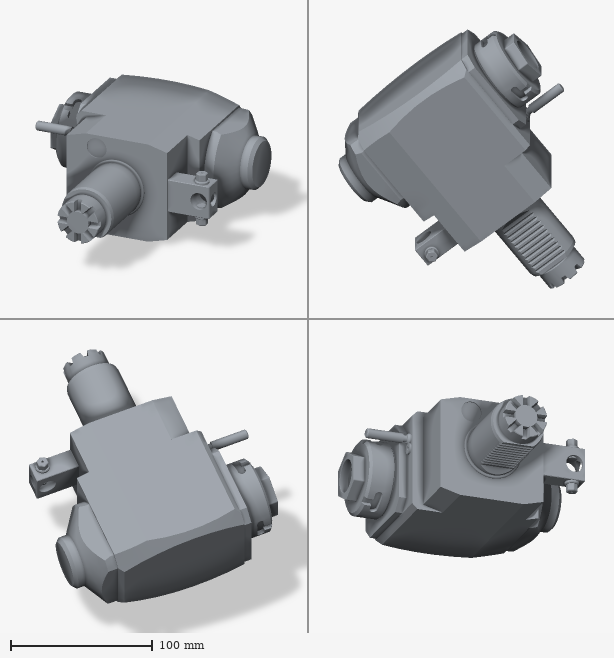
import cadquery as cq
import math

OVERLAP = 1.0

HALF_HEIGHT = 37.5
LOWER_HALF_WIDTH = 39.0
SHOULDER_Y = 35.0
BACK_Y = 114.0
UPPER_LEFT = -47.2
UPPER_RIGHT = 48.3
LEFT_CHAMFER = 3.9
TAPER_START = 24.2
TAPER_SLOPE = math.tan(math.radians(15))
BACK_CORNER_CHAMFER = 3.4
BACK_BEVEL_AXIS_X = -9.6
BACK_BEVEL_RADIUS = 137.0
BACK_BEVEL_Y = 109.3
PLUG_X = -15.7
PLUG_Z = 27.6
PLUG_RADIUS = 7.6
PLUG_DEPTH = 1.0

SPINDLE_Y = 80.0
PLATE_HALF = 33.5
PLATE_CHAMFER = 8.3
PLATE_FACE_X = -52.7
NUT_RADIUS = 27.5
NUT_BACK_X = -53.6
NUT_FACE_X = -72.2
NUT_FACE_CHAMFER = (1.8, 2.2)
NUT_BACK_CHAMFER = 0.5
NUT_NECK_RADIUS = 26.4
SLOT_X = -62.7
SLOT_WIDTH = 5.6
SLOT_FLOOR_RADIUS = 24.4
SLOT_LENGTH = 18.2
SLOT_COUNT = 3
NOTCH_WIDTH = 5.8
HEX_FLATS = 32.0
HEX_END_X = -80.5
HEX_CORNER_FILLET = 1.0
HEX_EDGE_CHAMFER = 0.3
HEX_BORE_RADIUS = 11.9
HEX_BORE_DEPTH = 6.2

COVER_RADIUS = 37.1
COVER_CYLINDER_END = 55.6
COVER_CONE_END = 68.1
COVER_CAP_RADIUS = 19.2
COVER_END_X = 76.5
COVER_CAP_CHAMFER = 2.6
COVER_BACK_Y = 109.9
COVER_HALF_HEIGHT = 29.4
COVER_FLAT_END = 51.5

NOZZLE_Y = 40.5
NOZZLE_Z = 17.5
NOZZLE_RADIUS = 3.5
NOZZLE_TIP_X = -80.1
NOZZLE_BACK_X = -52.8
NOZZLE_TIP_CHAMFER = 0.8
NOZZLE_NECK_RADIUS = 2.4
SOCKET_RADIUS = 4.1
SOCKET_FACE_RADIUS = 3.0
SOCKET_FACE_X = -49.6
SOCKET_RIM_X = -48.3
VENT_PLUG_Z = 10.3
VENT_PLUG_RADIUS = 4.0
VENT_PLUG_FACE_X = -48.6
VENT_HOLE_RADIUS = 1.3

FLANGE_RADIUS = 21.6
FLANGE_LENGTH = 2.1
SHANK_RADIUS = 20.0
SHANK_UNDERCUT_RADIUS = 19.7
SHANK_UNDERCUT_END = 3.8
SHANK_LENGTH = 52.7
SHANK_END_TAPER = 2.8
SHANK_END_RADIUS = 19.3
SHANK_NECK_RADIUS = 13.0
RACK_Z = -15.9
RACK_DEPTH = 1.2
RACK_START = 8.9
RACK_PITCH = 4.0
RACK_FIRST_VALLEY = 12.5
RACK_TEETH = 10
COUPLING_START = 53.8
COUPLING_RADIUS = 16.0
COUPLING_CHAMFER = 0.5
COUPLING_END = 68.0
CORE_RADIUS = 8.3
NOTCH_COUNT = 8
NOTCH_DEPTH = 4.8
NOTCH_MOUTH = 5.2
NOTCH_FLOOR = 3.4

BRACKET_END_X = 71.0
BRACKET_Y = (1.2, 16.3)
BRACKET_HALF_HEIGHT = 12.4
BRACKET_EDGE = 0.4
PORT_X = 62.9
PORT_RADIUS = 6.4
END_BORE_RADIUS = 5.0
SCREW_Y = 7.0
SCREW_FLANGE_RADIUS = 5.2
SCREW_FLANGE_TOP_RADIUS = 4.6
SCREW_FLANGE_SIDE = 1.4
SCREW_FLANGE_HEIGHT = 2.0
SCREW_HEX_FLATS = 7.6
SCREW_HEX_FILLET = 1.0
SCREW_HEX_CHAMFER = 0.5
SCREW_STUD_RADIUS = 3.6
SCREW_STUD_END_Z = 5.2
SCREW_HEIGHT = 7.4
SCREW_HOLE_RADIUS = 0.9
SCREW_HOLE_DEPTH = 2.0


def prism_along_y(points, y_start, y_end):
    """Extrude an (x, z) outline from y_start to y_end."""
    outline = cq.Workplane("XZ", origin=(0, y_start, 0)).polyline(points).close()
    return outline.extrude(y_start - y_end)


def turned_along_x(profile, y, z):
    """Turn an (x, radius) profile about an axis parallel to X."""
    outline = cq.Workplane("XY", origin=(0, y, z)).polyline(profile).close()
    return outline.revolve(360, (0, 0, 0), (1, 0, 0))


def turned_along_y(profile):
    """Turn a (radius, y) profile about the Y axis."""
    return cq.Workplane("XY").polyline(profile).close().revolve(360, (0, 0, 0), (0, 1, 0))


def cylinder_along_x(radius, x_start, x_end, y, z):
    return cq.Workplane("YZ", origin=(x_start, y, z)).circle(radius).extrude(x_end - x_start)


def cylinder_along_y(radius, y_start, y_end, x, z):
    return cq.Workplane("XZ", origin=(x, y_start, z)).circle(radius).extrude(y_start - y_end)


def mirrored_pair(points):
    """Close an upper (x, z) outline, listed left to right, with its mirror image below."""
    return points + [(x, -z) for x, z in reversed(points)]


def taper_height(x):
    return HALF_HEIGHT - (x - TAPER_START) * TAPER_SLOPE


def make_housing():
    lower = prism_along_y(
        mirrored_pair([
            (-LOWER_HALF_WIDTH, taper_height(LOWER_HALF_WIDTH)),
            (-TAPER_START, HALF_HEIGHT),
            (TAPER_START, HALF_HEIGHT),
            (LOWER_HALF_WIDTH, taper_height(LOWER_HALF_WIDTH)),
        ]),
        0,
        SHOULDER_Y,
    )
    upper = prism_along_y(
        mirrored_pair([
            (UPPER_LEFT, HALF_HEIGHT - LEFT_CHAMFER),
            (UPPER_LEFT + LEFT_CHAMFER, HALF_HEIGHT),
            (TAPER_START, HALF_HEIGHT),
            (UPPER_RIGHT, taper_height(UPPER_RIGHT)),
        ]),
        SHOULDER_Y,
        BACK_Y,
    )
    upper = upper.edges("|Z and >X and >Y").chamfer(BACK_CORNER_CHAMFER)

    for side in (1, -1):
        axis_z = side * (HALF_HEIGHT - BACK_BEVEL_RADIUS)
        cone_profile = [
            (0, 0),
            (BACK_BEVEL_RADIUS + BACK_BEVEL_Y, 0),
            (BACK_BEVEL_RADIUS + BACK_BEVEL_Y - BACK_Y, BACK_Y),
            (0, BACK_Y),
        ]
        cone = turned_along_y(cone_profile).translate((BACK_BEVEL_AXIS_X, 0, axis_z))
        upper = upper.intersect(cone)

    plug_recess = cylinder_along_y(PLUG_RADIUS, 0, PLUG_DEPTH, PLUG_X, PLUG_Z)
    return lower.union(upper).cut(plug_recess)


def make_plate():
    plate = cq.Workplane("YZ", origin=(PLATE_FACE_X, SPINDLE_Y, 0)).rect(2 * PLATE_HALF, 2 * PLATE_HALF)
    plate = plate.extrude(UPPER_LEFT - PLATE_FACE_X + OVERLAP)
    return plate.edges("|X").chamfer(PLATE_CHAMFER)


def make_nut_slot():
    """Cutter for one round-ended slot and the notch leading to it, on the +Y side of the nut."""
    clear_radius = NUT_RADIUS + OVERLAP
    slot = cq.Workplane("XZ", origin=(SLOT_X, 0, 0)).slot2D(SLOT_LENGTH, SLOT_WIDTH, 90)
    slot = slot.extrude(-clear_radius)
    notch = cq.Workplane("XY").box(
        SLOT_X - NUT_FACE_X + OVERLAP, clear_radius - SLOT_FLOOR_RADIUS, NOTCH_WIDTH,
        centered=(False, False, True),
    )
    notch = notch.translate((NUT_FACE_X - OVERLAP, SLOT_FLOOR_RADIUS, 0))
    floor = cylinder_along_x(SLOT_FLOOR_RADIUS, SLOT_X - SLOT_WIDTH, SLOT_X + SLOT_WIDTH, 0, 0)
    return slot.cut(floor).union(notch).translate((0, SPINDLE_Y, 0))


def make_nut():
    chamfer_length, chamfer_height = NUT_FACE_CHAMFER
    nut = turned_along_x(
        [
            (NUT_FACE_X, 0),
            (NUT_FACE_X, NUT_RADIUS - chamfer_height),
            (NUT_FACE_X + chamfer_length, NUT_RADIUS),
            (NUT_BACK_X - NUT_BACK_CHAMFER, NUT_RADIUS),
            (NUT_BACK_X, NUT_RADIUS - NUT_BACK_CHAMFER),
            (NUT_BACK_X, NUT_NECK_RADIUS),
            (PLATE_FACE_X + OVERLAP, NUT_NECK_RADIUS),
            (PLATE_FACE_X + OVERLAP, 0),
        ],
        SPINDLE_Y,
        0,
    )
    slot = make_nut_slot()
    for index in range(SLOT_COUNT):
        turn = index * 360 / SLOT_COUNT
        nut = nut.cut(slot.rotate((0, SPINDLE_Y, 0), (1, SPINDLE_Y, 0), turn))
    return nut


def make_hexagon_bore():
    """Cutter for the blind bore in the hexagon, flared by a small edge chamfer at its mouth."""
    return turned_along_x(
        [
            (HEX_END_X, 0),
            (HEX_END_X, HEX_BORE_RADIUS + HEX_EDGE_CHAMFER),
            (HEX_END_X + HEX_EDGE_CHAMFER, HEX_BORE_RADIUS),
            (HEX_END_X + HEX_BORE_DEPTH, HEX_BORE_RADIUS),
            (HEX_END_X + HEX_BORE_DEPTH, 0),
        ],
        SPINDLE_Y,
        0,
    )


def make_hexagon():
    corner_diameter = HEX_FLATS / math.cos(math.pi / 6)
    hexagon = cq.Workplane("YZ", origin=(HEX_END_X, SPINDLE_Y, 0))
    hexagon = hexagon.transformed(rotate=(0, 0, 90)).polygon(6, corner_diameter)
    hexagon = hexagon.extrude(NUT_FACE_X + OVERLAP - HEX_END_X)
    hexagon = hexagon.edges("|X").fillet(HEX_CORNER_FILLET)
    hexagon = hexagon.faces("<X").edges().chamfer(HEX_EDGE_CHAMFER)
    return hexagon.cut(make_hexagon_bore())


def make_cover():
    start = UPPER_RIGHT - OVERLAP
    cover = turned_along_x(
        [
            (start, 0),
            (start, COVER_RADIUS),
            (COVER_CYLINDER_END, COVER_RADIUS),
            (COVER_CONE_END, COVER_CAP_RADIUS),
            (COVER_END_X - COVER_CAP_CHAMFER, COVER_CAP_RADIUS),
            (COVER_END_X, COVER_CAP_RADIUS - COVER_CAP_CHAMFER),
            (COVER_END_X, 0),
        ],
        SPINDLE_Y,
        0,
    )
    end_height = COVER_HALF_HEIGHT - (COVER_END_X - COVER_FLAT_END) * TAPER_SLOPE
    envelope = prism_along_y(
        mirrored_pair([
            (start, COVER_HALF_HEIGHT),
            (COVER_FLAT_END, COVER_HALF_HEIGHT),
            (COVER_END_X, end_height),
        ]),
        SPINDLE_Y - COVER_RADIUS - OVERLAP,
        COVER_BACK_Y,
    )
    return cover.intersect(envelope)


def make_nozzle():
    nozzle = turned_along_x(
        [
            (NOZZLE_TIP_X, 0),
            (NOZZLE_TIP_X, NOZZLE_RADIUS - NOZZLE_TIP_CHAMFER),
            (NOZZLE_TIP_X + NOZZLE_TIP_CHAMFER, NOZZLE_RADIUS),
            (NOZZLE_BACK_X, NOZZLE_RADIUS),
            (NOZZLE_BACK_X, NOZZLE_NECK_RADIUS),
            (SOCKET_FACE_X, NOZZLE_NECK_RADIUS),
            (SOCKET_FACE_X, SOCKET_FACE_RADIUS),
            (SOCKET_RIM_X, SOCKET_RADIUS),
            (UPPER_LEFT + OVERLAP, SOCKET_RADIUS),
            (UPPER_LEFT + OVERLAP, 0),
        ],
        NOZZLE_Y,
        NOZZLE_Z,
    )
    plug = cylinder_along_x(VENT_PLUG_RADIUS, VENT_PLUG_FACE_X, UPPER_LEFT + OVERLAP, NOZZLE_Y, VENT_PLUG_Z)
    hole = cylinder_along_x(VENT_HOLE_RADIUS, VENT_PLUG_FACE_X, UPPER_LEFT, NOZZLE_Y, VENT_PLUG_Z)
    return nozzle.union(plug.cut(hole))


def make_rack_cutter():
    """Cutter for the serrated clamping flat on the underside of the shank, as a (y, z) outline."""
    below = -SHANK_RADIUS - OVERLAP
    points = [(-RACK_START + (RACK_Z - below), below), (-RACK_START, RACK_Z)]
    for index in range(RACK_TEETH):
        valley = -RACK_FIRST_VALLEY - index * RACK_PITCH
        points += [
            (valley + RACK_DEPTH, RACK_Z),
            (valley, RACK_Z + RACK_DEPTH),
            (valley - RACK_DEPTH, RACK_Z),
        ]
    points += [(-SHANK_LENGTH, RACK_Z), (-SHANK_LENGTH, below)]
    cutter = cq.Workplane("YZ", origin=(-SHANK_RADIUS, 0, 0)).polyline(points).close()
    return cutter.extrude(2 * SHANK_RADIUS)


def make_shank():
    rim_radius = FLANGE_LENGTH / 2
    flange = cq.Workplane("XY").lineTo(FLANGE_RADIUS - rim_radius, 0)
    flange = flange.threePointArc((FLANGE_RADIUS, -rim_radius), (FLANGE_RADIUS - rim_radius, -FLANGE_LENGTH))
    flange = flange.lineTo(0, -FLANGE_LENGTH).close().revolve(360, (0, 0, 0), (0, 1, 0))
    shank = turned_along_y([
        (0, 0),
        (SHANK_UNDERCUT_RADIUS, 0),
        (SHANK_UNDERCUT_RADIUS, -SHANK_UNDERCUT_END),
        (SHANK_RADIUS, -SHANK_UNDERCUT_END),
        (SHANK_RADIUS, -SHANK_LENGTH + SHANK_END_TAPER),
        (SHANK_END_RADIUS, -SHANK_LENGTH),
        (SHANK_NECK_RADIUS, -SHANK_LENGTH),
        (SHANK_NECK_RADIUS, -COUPLING_START - OVERLAP),
        (0, -COUPLING_START - OVERLAP),
    ])
    return shank.cut(make_rack_cutter()).union(flange)


def make_coupling():
    coupling = cylinder_along_y(COUPLING_RADIUS, -COUPLING_END, -COUPLING_START, 0, 0)
    coupling = coupling.edges().chamfer(COUPLING_CHAMFER)
    notch_outline = [
        (-NOTCH_MOUTH / 2, -COUPLING_END),
        (-NOTCH_FLOOR / 2, -COUPLING_END + NOTCH_DEPTH),
        (NOTCH_FLOOR / 2, -COUPLING_END + NOTCH_DEPTH),
        (NOTCH_MOUTH / 2, -COUPLING_END),
    ]
    notch = cq.Workplane("XY").polyline(notch_outline).close().extrude(COUPLING_RADIUS + OVERLAP)
    core = cylinder_along_y(CORE_RADIUS, -COUPLING_END, -COUPLING_START, 0, 0)
    notch = notch.cut(core)
    for index in range(NOTCH_COUNT):
        turn = index * 360 / NOTCH_COUNT
        coupling = coupling.cut(notch.rotate((0, 0, 0), (0, 1, 0), turn))
    return coupling


def make_bracket_screw():
    """Hexagon flange screw on the top face of the bracket, its stud reaching down into the port."""
    seat = BRACKET_HALF_HEIGHT
    screw_profile = [
        (0, SCREW_STUD_END_Z),
        (SCREW_STUD_RADIUS, SCREW_STUD_END_Z),
        (SCREW_STUD_RADIUS, seat),
        (SCREW_FLANGE_RADIUS, seat),
        (SCREW_FLANGE_RADIUS, seat + SCREW_FLANGE_SIDE),
        (SCREW_FLANGE_TOP_RADIUS, seat + SCREW_FLANGE_HEIGHT),
        (0, seat + SCREW_FLANGE_HEIGHT),
    ]
    screw = cq.Workplane("XZ").polyline(screw_profile).close().revolve(360, (0, 0, 0), (0, 1, 0))
    corner_diameter = SCREW_HEX_FLATS / math.cos(math.pi / 6)
    head = cq.Workplane("XY", origin=(0, 0, seat)).transformed(rotate=(0, 0, 90))
    head = head.polygon(6, corner_diameter).extrude(SCREW_HEIGHT)
    head = head.edges("|Z").fillet(SCREW_HEX_FILLET).faces(">Z").edges().chamfer(SCREW_HEX_CHAMFER)
    hole = cq.Workplane("XY", origin=(0, 0, seat + SCREW_HEIGHT)).circle(SCREW_HOLE_RADIUS)
    hole = hole.extrude(-SCREW_HOLE_DEPTH)
    return screw.union(head).cut(hole).translate((PORT_X, SCREW_Y, 0))


def make_bracket():
    y_start, y_end = BRACKET_Y
    end_bore_y = (y_start + y_end) / 2
    bracket = cq.Workplane("XY").box(
        BRACKET_END_X - LOWER_HALF_WIDTH + OVERLAP, y_end - y_start, 2 * BRACKET_HALF_HEIGHT,
        centered=(False, False, True),
    )
    bracket = bracket.translate((LOWER_HALF_WIDTH - OVERLAP, y_start, 0))
    bracket = bracket.edges("|X or >X").chamfer(BRACKET_EDGE)

    port = cylinder_along_y(PORT_RADIUS, y_start, y_end, PORT_X, 0)
    end_bore = cylinder_along_x(END_BORE_RADIUS, PORT_X, BRACKET_END_X, end_bore_y, 0)
    bracket = bracket.cut(port).cut(end_bore)

    screw = make_bracket_screw()
    return bracket.union(screw).union(screw.mirror("XY"))


result = make_housing()
for component in (
    make_plate(),
    make_nut(),
    make_hexagon(),
    make_cover(),
    make_nozzle(),
    make_shank(),
    make_coupling(),
    make_bracket(),
):
    result = result.union(component)